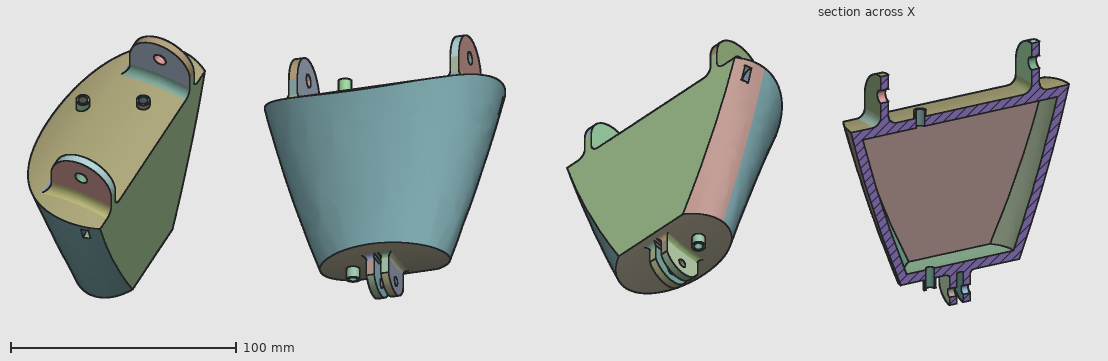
import cadquery as cq
import math


body_height = 80.0
body_sections = (
    (0, 19.3, 29.9),
    (body_height / 2, 28.3, 43.9),
    (body_height, 41.0, 55.0),
)
back_x = 15.0
crown_radius = 69.5
underside_radius = 100
wall = 5.0
trim_reach = 47.6
trim_half_depth = 59.5

upper_lug_thickness = 4.0
upper_lug_half_width = back_x
upper_lug_y = 38.0
upper_lug_rise = 24.0
upper_hole_drop = 10.0
upper_hole_diameter = 6.0
upper_fillet = 4.0

lower_lug_thickness = 3.6
lower_lug_half_width = 10.0
lower_lug_gap = 3.2
lower_block_thickness = 2 * lower_lug_thickness + lower_lug_gap
lower_lug_drop = 15.0
lower_lug_tip_height = 6.4
lower_hole_rise = 6.1
lower_hole_diameter = 4.0
lower_fillet = 2.0
lower_gap_fillet = 0.8

tube_diameter = 6.0
bore_diameter = 4.0
ridge_tube = (0, 20.0)
front_tube = (-25.0, 10.0)
bottom_tube = (0, 15.0)
ridge_tube_rise = 3.0
bottom_tube_drop = 5.0

notch_x = 8.3
notch_width = 3.2
notch_radius = 4.0
notch_y = 51.8
notch_z = 72.2


def arc_rise(radius, x):
    """Distance an arc departs from its apex tangent at offset x."""
    return radius - math.sqrt(radius**2 - x**2)


def crowned_body(inset):
    """Body shape with every face moved inward by the inset."""
    loft = cq.Workplane("XY")
    previous_z = 0
    for z, half_x, half_y in body_sections:
        loft = loft.workplane(offset=z - previous_z).ellipse(half_x - inset, half_y - inset)
        previous_z = z
    loft = loft.loft(combine=True)

    top_radius = crown_radius - inset
    bottom_radius = underside_radius - inset
    top = body_height - inset
    right = back_x - inset
    trim = (
        cq.Workplane("XZ")
        .moveTo(-trim_reach, inset + arc_rise(bottom_radius, trim_reach))
        .threePointArc((0, inset), (right, inset + arc_rise(bottom_radius, right)))
        .lineTo(right, top - arc_rise(top_radius, right))
        .threePointArc((0, top), (-trim_reach, top - arc_rise(top_radius, trim_reach)))
        .close()
        .extrude(trim_half_depth, both=True)
    )
    return loft.intersect(trim)


def upper_lug(y):
    """Round-topped lug flush with the flat back, rooted in the top wall."""
    root = body_height - arc_rise(crown_radius, upper_lug_half_width) - wall / 2
    tip = body_height + upper_lug_rise
    shoulder = tip - upper_lug_half_width
    return (
        cq.Workplane("XZ", origin=(0, y + upper_lug_thickness / 2, 0))
        .moveTo(-upper_lug_half_width, root)
        .lineTo(upper_lug_half_width, root)
        .lineTo(upper_lug_half_width, shoulder)
        .threePointArc((0, tip), (-upper_lug_half_width, shoulder))
        .close()
        .moveTo(0, tip - upper_hole_drop)
        .circle(upper_hole_diameter / 2)
        .extrude(upper_lug_thickness)
    )


def lower_lug_block():
    """Arc-ended block hanging from the bottom wall, as thick as both lower lugs and their gap."""
    root = wall / 2
    shoulder = lower_lug_tip_height - lower_lug_drop
    return (
        cq.Workplane("XZ", origin=(0, lower_block_thickness / 2, 0))
        .moveTo(-lower_lug_half_width, root)
        .lineTo(lower_lug_half_width, root)
        .lineTo(lower_lug_half_width, shoulder)
        .threePointArc((0, -lower_lug_drop), (-lower_lug_half_width, shoulder))
        .close()
        .moveTo(0, lower_hole_rise - lower_lug_drop)
        .circle(lower_hole_diameter / 2)
        .extrude(lower_block_thickness)
    )


def lower_gap():
    """Space between the lower lugs, following the curved underside with rounded corners."""
    reach = (lower_lug_half_width + lower_fillet + back_x) / 2
    end_z = arc_rise(underside_radius, reach)
    gap_bottom = -2 * lower_lug_drop
    return (
        cq.Workplane("XZ", origin=(0, lower_lug_gap / 2, 0))
        .moveTo(-reach, gap_bottom)
        .lineTo(-reach, end_z)
        .threePointArc((0, 0), (reach, end_z))
        .lineTo(reach, gap_bottom)
        .close()
        .extrude(lower_lug_gap)
        .edges("%CIRCLE")
        .fillet(lower_gap_fillet)
    )


def upright_cylinder(position, diameter, z_start, z_end):
    """Vertical cylinder between two heights."""
    return (
        cq.Workplane("XY", origin=(*position, z_start))
        .circle(diameter / 2)
        .extrude(z_end - z_start)
    )


def add_tube(part, position, tip_z, surface_z):
    """Hose tube with its bore opened through the wall into the cavity."""
    inward = math.copysign(wall, surface_z - tip_z)
    tube = upright_cylinder(position, tube_diameter, tip_z, surface_z + inward / 2)
    bore = upright_cylinder(position, bore_diameter, tip_z, surface_z + 2 * inward)
    return part.union(tube).cut(bore)


def fillet_root(part, lug_y, lug_thickness, z_limits, radius):
    """Fillet the edges where a lug meets the body surface."""
    margin = 0.06
    half_y = lug_thickness / 2 + margin
    root = cq.selectors.BoxSelector(
        (-back_x - margin, lug_y - half_y, z_limits[0] - margin),
        (back_x + margin, lug_y + half_y, z_limits[1] + margin),
        boundingbox=True,
    )
    return part.edges(root).fillet(radius)


def side_notch(side):
    """Round-bottomed notch centred on the sloping side face."""
    return (
        cq.Workplane("YZ", origin=(notch_x - notch_width / 2, side * notch_y, notch_z))
        .circle(notch_radius)
        .extrude(notch_width)
    )


part = crowned_body(0)
upper_root_z = body_height - arc_rise(crown_radius, upper_lug_half_width)
for side in (-1, 1):
    lug_y = side * upper_lug_y
    part = part.union(upper_lug(lug_y))
    part = fillet_root(part, lug_y, upper_lug_thickness, (upper_root_z, body_height), upper_fillet)

lower_root_z = arc_rise(underside_radius, lower_lug_half_width)
part = part.union(lower_lug_block())
part = fillet_root(part, 0, lower_block_thickness, (0, lower_root_z), lower_fillet)
part = part.cut(lower_gap())

part = part.cut(crowned_body(wall))
part = add_tube(part, ridge_tube, body_height + ridge_tube_rise, body_height)
part = add_tube(part, front_tube, body_height, body_height - arc_rise(crown_radius, front_tube[0]))
part = add_tube(part, bottom_tube, -bottom_tube_drop, 0)
for side in (-1, 1):
    part = part.cut(side_notch(side))

result = part